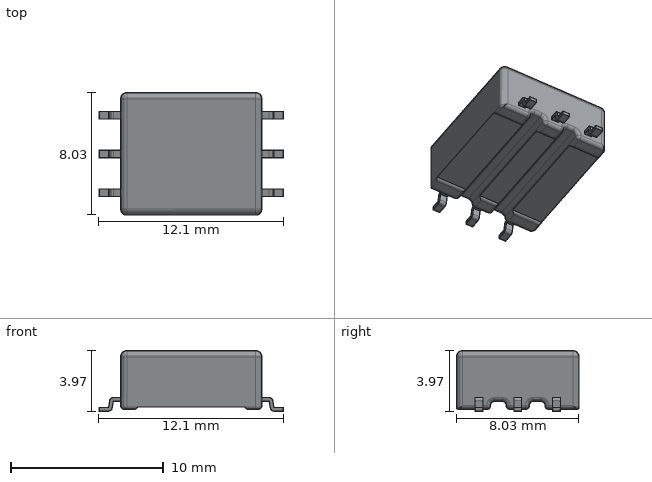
import cadquery as cq
import math

total_length = 12.07
body_length = 9.25
body_width = 8.03
top_height = 3.97
standoff = 0.12
body_round = 0.41

rail_length = 1.1
rail_height = 0.15
edge_round = 0.25
side_round = rail_height

lead_pitch = 2.53
channel_width = 1.01
channel_depth = 0.52

lead_count = 3
lead_width = 0.51
lead_thickness = 0.25
lead_top = 0.9
foot_length = 0.62
lean = math.radians(10)
embed = 0.12

body_height = top_height - standoff
half_length = body_length / 2
underside = standoff + rail_height
channel_top = standoff + channel_depth


def make_block():
    """Plain box over the body footprint, from the rail bottoms to the top of the body."""
    box = cq.Workplane("XY").box(body_length, body_width, body_height, centered=(True, True, False))
    return box.translate((0, 0, standoff))


def make_channel(y):
    """Cutter for one through channel with rounded roof corners."""
    channel = cq.Workplane("XY").box(body_length, channel_width, 2 * channel_depth)
    channel = channel.edges("|X and >Z").fillet(edge_round)
    return channel.translate((0, y, standoff))


def make_recess():
    """Cutter that raises the underside between the rails, leaving their inner edges rounded."""
    rise = edge_round - rail_height
    run = math.sqrt(edge_round**2 - rise**2)
    half_top = half_length - rail_length
    half_bottom = half_top + run
    half_turn = math.acos(rise / edge_round) / 2
    mid_x = half_bottom - edge_round * math.sin(half_turn)
    mid_z = standoff + edge_round * (1 - math.cos(half_turn))
    profile = (
        cq.Workplane("XZ")
        .moveTo(-half_bottom, standoff)
        .threePointArc((-mid_x, mid_z), (-half_top, underside))
        .lineTo(half_top, underside)
        .threePointArc((mid_x, mid_z), (half_bottom, standoff))
        .close()
    )
    return profile.extrude(body_width / 2, both=True)


def make_body():
    """Body with its channels, foot rails and rounded edges."""
    body = make_block()
    for side in (-1, 1):
        body = body.cut(make_channel(side * lead_pitch / 2))

    tolerance = 0.001
    end_reach = half_length - tolerance
    side_reach = body_width / 2 - tolerance
    lower_edges = []
    for edge in body.edges().vals():
        box = edge.BoundingBox()
        on_end_face = box.xmin > end_reach or box.xmax < -end_reach
        on_underside = box.zmax < standoff + tolerance
        on_side = box.ymin > side_reach or box.ymax < -side_reach
        if box.zmax < channel_top + tolerance and (on_end_face or on_underside) and not on_side:
            lower_edges.append(edge)
    body = body.newObject(lower_edges).fillet(edge_round)

    shell = make_block().edges("|Z or >Z").fillet(body_round)
    shell = shell.faces("<Z").edges().fillet(side_round)
    return body.intersect(shell).cut(make_recess())


def make_lead():
    """Gull-wing lead on the -X end, centred on Y = 0."""
    tip = -total_length / 2
    buried_end = -half_length + embed
    shoulder_z = lead_top - lead_thickness
    heel_x = tip + foot_length
    rise = shoulder_z - lead_thickness
    shoulder_x = heel_x + (lead_thickness + rise * math.sin(lean)) / math.cos(lean)

    def around_bend(x, z, direction, angle):
        """Point on the outer arc of a bend around its inner corner."""
        across = direction * lead_thickness * math.cos(angle)
        down = direction * lead_thickness * math.sin(angle)
        return (x + across, z - down)

    mid_angle = (math.pi / 2 + lean) / 2
    heel = (heel_x, lead_thickness)
    shoulder = (shoulder_x, shoulder_z)
    profile = (
        cq.Workplane("XZ")
        .moveTo(tip, 0)
        .lineTo(heel_x, 0)
        .threePointArc(around_bend(*heel, 1, mid_angle), around_bend(*heel, 1, lean))
        .lineTo(*shoulder)
        .lineTo(buried_end, shoulder_z)
        .lineTo(buried_end, lead_top)
        .lineTo(shoulder_x, lead_top)
        .threePointArc(around_bend(*shoulder, -1, mid_angle), around_bend(*shoulder, -1, lean))
        .lineTo(*heel)
        .lineTo(tip, lead_thickness)
        .close()
    )
    return profile.extrude(lead_width / 2, both=True)


result = make_body()
left_lead = make_lead()
right_lead = left_lead.mirror("YZ")
for index in range(lead_count):
    y = (index - (lead_count - 1) / 2) * lead_pitch
    for lead in (left_lead, right_lead):
        result = result.union(lead.translate((0, y, 0)))